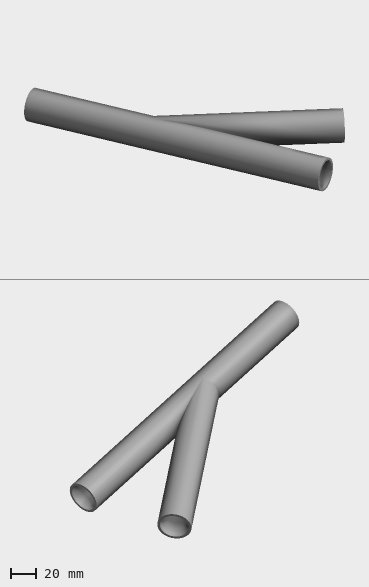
import cadquery as cq
import math

main_length = 254.0
outer_diameter = 27.0
bore_diameter = 22.9
branch_angle = 30.0
branch_length = 149.9
junction_x = 104.1

branch_overrun = outer_diameter


def plane_across(x, angle):
    """Plane through (x, 0, 0) whose normal lies in XY, at an angle in degrees from +X."""
    turn = math.radians(angle)
    return cq.Plane(origin=(x, 0, 0), xDir=(0, 0, 1), normal=(math.cos(turn), math.sin(turn), 0))


def main_rod(diameter):
    """Solid rod along the main axis."""
    return cq.Workplane(plane_across(0, 0)).circle(diameter / 2).extrude(main_length)


def branch_rod(diameter):
    """Solid rod along the branch axis, mitred on the plane that bisects the obtuse corner."""
    rod = (
        cq.Workplane(plane_across(junction_x, branch_angle))
        .workplane(offset=-branch_overrun)
        .circle(diameter / 2)
        .extrude(branch_overrun + branch_length)
    )
    block_size = 2 * branch_length
    mitre_plane = plane_across(junction_x, branch_angle / 2)
    branch_side = cq.Workplane(mitre_plane).rect(block_size, block_size).extrude(block_size)
    return rod.intersect(branch_side)


outer_body = main_rod(outer_diameter).union(branch_rod(outer_diameter))
result = outer_body.cut(main_rod(bore_diameter)).cut(branch_rod(bore_diameter))